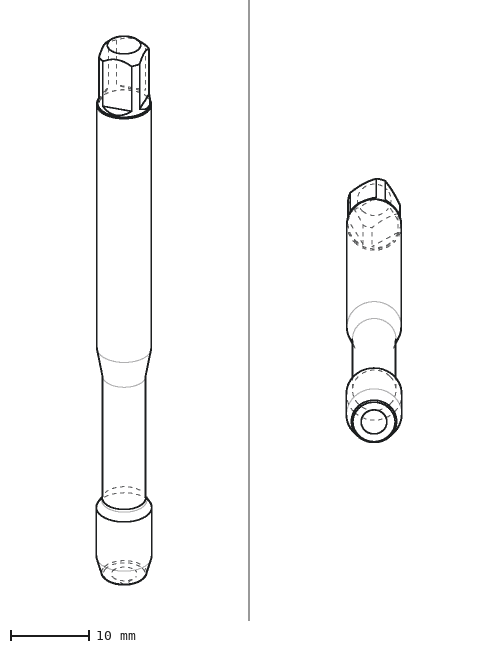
import cadquery as cq

overall_length = 81.55
point_height = 1.65
lead_end = 4.3
thread_end = 11.7
neck_cone_start = 31.6
shank_start = 35.8
shank_end = 72.6

thread_diameter = 7.12
lead_diameter = 5.8
neck_diameter = 5.56
shank_diameter = 7.0

rim_chamfer = 0.2
point_diameter = 2 * point_height

rear_cone_end = 12.8
rear_cone_diameter = 5.8
head_end = 13.1

square_size = 5.5
square_corner_diameter = 6.72
square_top_diameter = 4.3
square_start = 73.55

shank_shoulder = shank_end + (shank_diameter - square_corner_diameter) / 2
square_chamfer = (square_corner_diameter - square_top_diameter) / 2


def revolve_profile(stations):
    """Solid of revolution about Z through (diameter, height) stations, closed along the axis."""
    outline = [(diameter / 2, height) for diameter, height in stations]
    first_height = stations[0][1]
    last_height = stations[-1][1]
    outline = [(0, first_height)] + outline + [(0, last_height)]
    return cq.Workplane("XZ").polyline(outline).close().revolve(360, (0, 0), (0, 1))


def make_thread_head():
    """Threaded head: point, chamfered rim, tapered lead, plain thread envelope and rear cones."""
    point = cq.Workplane(cq.Solid.makeCone(0, point_diameter / 2, point_height))
    head = revolve_profile([
        (lead_diameter - 2 * rim_chamfer, point_height),
        (lead_diameter, point_height + rim_chamfer),
        (thread_diameter, lead_end),
        (thread_diameter, thread_end),
        (rear_cone_diameter, rear_cone_end),
        (neck_diameter, head_end),
    ])
    return head.union(point)


def make_flat_cutter():
    """Material removed for the flat facing +X: its lower end slopes outwards at 45 degrees."""
    flat = square_size / 2
    reach = shank_diameter / 2
    profile = [
        (flat, square_start),
        (reach, square_start - (reach - flat)),
        (reach, overall_length),
        (flat, overall_length),
    ]
    return cq.Workplane("XZ").polyline(profile).close().extrude(shank_diameter / 2, both=True)


def make_shank():
    """Neck, cone, cylindrical shank and driving square in one piece."""
    body = revolve_profile([
        (neck_diameter, head_end),
        (neck_diameter, neck_cone_start),
        (shank_diameter, shank_start),
        (shank_diameter, shank_end),
        (square_corner_diameter, shank_shoulder),
        (square_corner_diameter, overall_length - square_chamfer),
        (square_top_diameter, overall_length),
    ])
    for side in range(4):
        body = body.cut(make_flat_cutter().rotate((0, 0, 0), (0, 0, 1), 90 * side))
    return body


thread_head = make_thread_head()
shank = make_shank()
result = cq.Compound.makeCompound([thread_head.val(), shank.val()])